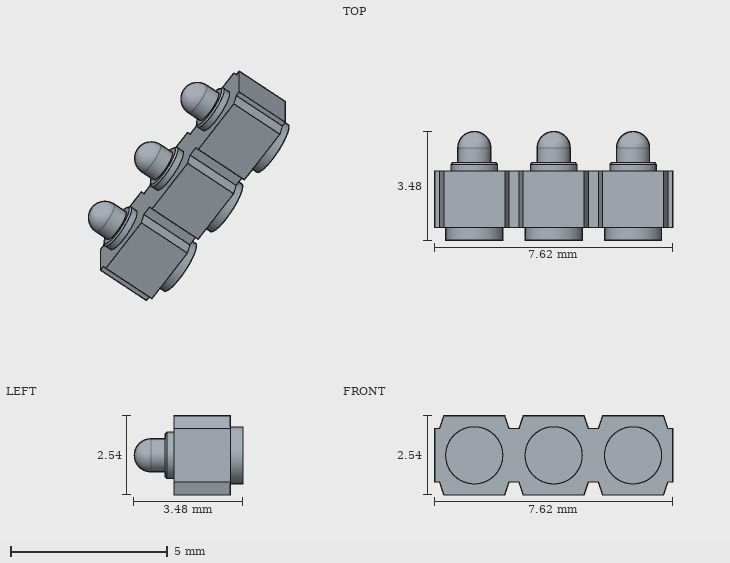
import cadquery as cq
import math

pin_count = 3
length = 7.62
pitch = length / pin_count

housing_height = pitch
housing_depth = 1.81
notch_depth = 0.41
block_top_width = 1.95
block_base_width = 2.225

tail_diameter = 1.83
tail_length = 0.405
barrel_diameter = 1.49
barrel_protrusion = 0.275
barrel_chamfer = 0.06
plunger_diameter = 1.07
total_depth = 3.48

barrel_end = housing_depth + barrel_protrusion
tip_end = total_depth - tail_length
pin_centres = [(i - (pin_count - 1) / 2) * pitch for i in range(pin_count)]


def along_y(profile, depth):
    """Extrude an XZ profile from the housing's tail face (Y = 0) towards +Y."""
    return profile.extrude(-depth)


def make_housing():
    """Spine with tapered blocks above and below, bored through for the pins."""
    top = housing_height / 2
    spine_top = top - notch_depth
    housing = along_y(cq.Workplane("XZ").rect(length, 2 * spine_top), housing_depth)
    for x in pin_centres:
        block_outline = [
            (x - block_base_width / 2, spine_top),
            (x - block_top_width / 2, top),
            (x + block_top_width / 2, top),
            (x + block_base_width / 2, spine_top),
            (x + block_base_width / 2, -spine_top),
            (x + block_top_width / 2, -top),
            (x - block_top_width / 2, -top),
            (x - block_base_width / 2, -spine_top),
        ]
        housing = housing.union(along_y(cq.Workplane("XZ").polyline(block_outline).close(), housing_depth))
    bores = along_y(
        cq.Workplane("XZ").pushPoints([(x, 0) for x in pin_centres]).circle(barrel_diameter / 2),
        housing_depth,
    )
    return housing.cut(bores)


def make_pin(x):
    """One contact, turned about the Y direction through the given X."""
    tail_radius = tail_diameter / 2
    barrel_radius = barrel_diameter / 2
    plunger_radius = plunger_diameter / 2
    dome_start = tip_end - plunger_radius
    dome_middle = plunger_radius * math.sqrt(0.5)
    pin = (
        cq.Workplane("XY")
        .moveTo(0, -tail_length)
        .lineTo(tail_radius, -tail_length)
        .lineTo(tail_radius, 0)
        .lineTo(barrel_radius, 0)
        .lineTo(barrel_radius, barrel_end - barrel_chamfer)
        .lineTo(barrel_radius - barrel_chamfer, barrel_end)
        .lineTo(plunger_radius, barrel_end)
        .lineTo(plunger_radius, dome_start)
        .threePointArc((dome_middle, dome_start + dome_middle), (0, tip_end))
        .close()
        .revolve(360, (0, 0, 0), (0, 1, 0))
    )
    return pin.translate((x, 0, 0))


housing = make_housing()
pins = [make_pin(x) for x in pin_centres]

result = cq.Compound.makeCompound([housing.val(), *[pin.val() for pin in pins]])